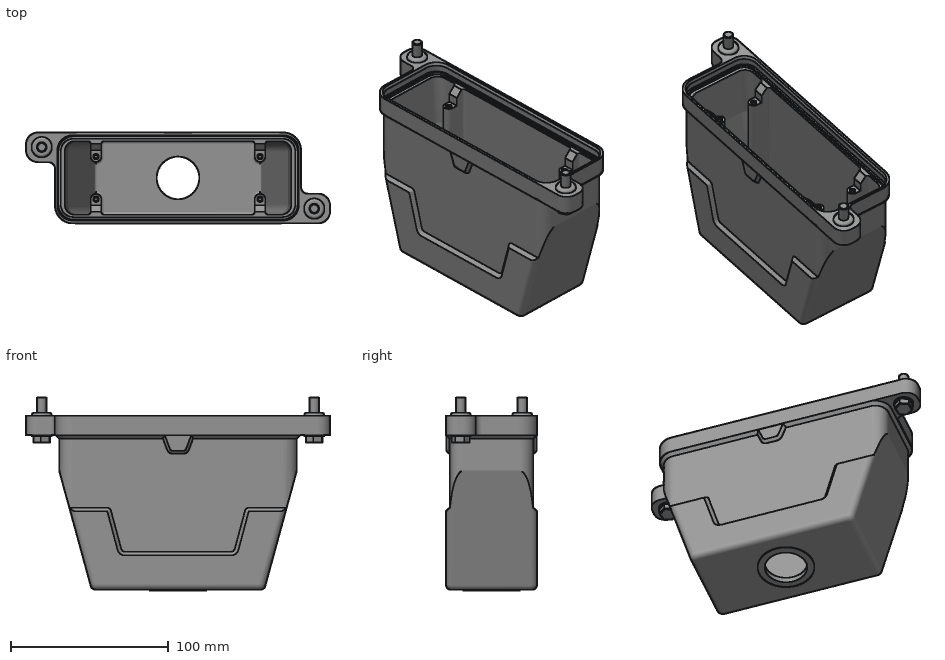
import math

import cadquery as cq

FLANGE_THICKNESS = 12.4
BODY_BOTTOM_Z = -110.5
TAPER_START_Z = -34.9

MARGIN = 1.0

FLANGE_LENGTH = 156.2
FLANGE_WIDTH = 57.8
FLANGE_CORNER_R = 11.4
OVERALL_LENGTH = 193.0
EAR_WIDTH = 19.0
EAR_CORNER_R = 7.8
EAR_INNER_R = 4.0

BODY_LENGTH = 150.8
BODY_WIDTH = 53.2
BODY_CORNER_R = 8.8
BODY_BOTTOM_LENGTH = 109.4
NECK_CHAMFER = 2.2
EDGE_R = 4.0
BOTTOM_R = 3.6

BAND_WIDTH = 58.0
BAND_BEVEL = 2.4
BAND_CORNER_R = 2.6
BAND_TOP_Z = -58.4
WINDOW_BOTTOM_Z = -86.3
WINDOW_TOP_HALF = 43.0
WINDOW_BOTTOM_HALF = 35.5

TAB_WIDTH = 57.4
TAB_BOTTOM_Z = -24.2
TAB_TOP_HALF = 10.4
TAB_BOTTOM_HALF = 6.0
TAB_BEVEL = 1.9
TAB_CORNER_R = 4.0

RECESS_LENGTH = 153.2
RECESS_WIDTH = 54.2
RECESS_CORNER_R = 10.0
RECESS_BEVEL_DEPTH = 2.0
RECESS_BEVEL_INSET = 0.8
RECESS_SHELF_DEPTH = 6.4
RECESS_SHELF_INSET = 2.3
RECESS_DEPTH = 7.9
LEDGE_Z = -RECESS_DEPTH

CAVITY_LENGTH = 143.8
CAVITY_WIDTH = 46.8
CAVITY_CORNER_R = 6.8
CAVITY_SLOPE_Z = -42.0
CAVITY_SLOPE_LENGTH = 139.6
CAVITY_FLOOR_LENGTH = 105.2
CAVITY_FLOOR_Z = -107.0
FLOOR_R = 1.9

POST_X = 52.0
POST_Y = 13.5
POST_WIDTH = 6.7
POST_TOP_Z = -18.2
POST_ROOT_R = 2.0
POST_HOLE_D = 2.2
POST_SINK_D = 3.6
POST_HOLE_DEPTH = 12.0
RAMP_START_Y = 21.6
RAMP_END_Y = 17.4
RAMP_DROP = 4.4

CABLE_HOLE_D = 26.9
CABLE_PAD_D = 36.0
CABLE_PAD_HEIGHT = 0.5

SCREW_X = 86.4
SCREW_Y = 19.5
SCREW_D = 6.2
SCREW_TIP_Z = 11.7
SCREW_TIP_CHAMFER = 0.5
COLLAR_D = 13.0
COLLAR_HEIGHT = 1.9
COLLAR_R = 1.85
HEAD_ACROSS_FLATS = 10.0
HEAD_HEIGHT = 4.9
HEAD_TURN = 23.7
HEAD_CHAMFER = 0.5
WASHER_D = 12.4
WASHER_HEIGHT = 0.7


def rounded_box(length, width, radius, z_top, height):
    """Box centred in X and Y with rounded vertical edges, hanging from z_top."""
    return (
        cq.Workplane("XY", origin=(0, 0, z_top - height))
        .rect(length, width)
        .extrude(height)
        .edges("|Z")
        .fillet(radius)
    )


def side_prism(points, width):
    """Prism of an X-Z outline, centred on Y = 0."""
    return cq.Workplane("XZ").polyline(points).close().extrude(width / 2, both=True)


def mirrored(points):
    """Outline symmetric in X, from the points of its +X half (top to bottom)."""
    return points + [(-x, z) for x, z in reversed(points)]


def body_outline():
    return mirrored([
        (BODY_LENGTH / 2, 0),
        (BODY_LENGTH / 2, TAPER_START_Z),
        (BODY_BOTTOM_LENGTH / 2, BODY_BOTTOM_Z),
    ])


def make_ear():
    """Ear at the -X, +Y corner of the flange, long enough to overlap the flange."""
    x_left = -OVERALL_LENGTH / 2
    y_low = FLANGE_WIDTH / 2 - EAR_WIDTH
    ear = (
        cq.Workplane("XY", origin=(0, 0, -FLANGE_THICKNESS))
        .moveTo(x_left, y_low)
        .lineTo(-FLANGE_LENGTH / 2, y_low)
        .lineTo(-FLANGE_LENGTH / 2, 0)
        .lineTo(0, 0)
        .lineTo(0, FLANGE_WIDTH / 2)
        .lineTo(x_left, FLANGE_WIDTH / 2)
        .close()
        .extrude(FLANGE_THICKNESS)
    )
    ear = ear.edges("|Z and <X").fillet(EAR_CORNER_R)
    inner_corner = cq.selectors.NearestToPointSelector(
        (-FLANGE_LENGTH / 2, y_low, -FLANGE_THICKNESS / 2)
    )
    return ear.edges(inner_corner).fillet(EAR_INNER_R)


def half_turn(shape):
    return shape.rotate((0, 0, 0), (0, 0, 1), 180)


def make_flange():
    plate = rounded_box(FLANGE_LENGTH, FLANGE_WIDTH, FLANGE_CORNER_R, 0, FLANGE_THICKNESS)
    ear = make_ear()
    return plate.union(ear).union(half_turn(ear))


def make_neck():
    """Sloped transition between the body and the underside of the flange."""
    block = rounded_box(
        BODY_LENGTH + 2 * NECK_CHAMFER,
        BODY_WIDTH + 2 * NECK_CHAMFER,
        BODY_CORNER_R + NECK_CHAMFER,
        -FLANGE_THICKNESS + NECK_CHAMFER,
        2 * NECK_CHAMFER,
    )
    return block.faces("<Z").chamfer(NECK_CHAMFER)


def make_envelope():
    """Body at the full width of the band, rounded along the sloped ends and the bottom."""
    envelope = side_prism(body_outline(), BAND_WIDTH)
    sloped_edges = cq.selectors.BoxSelector(
        (-BODY_LENGTH, -BAND_WIDTH, BODY_BOTTOM_Z + MARGIN),
        (BODY_LENGTH, BAND_WIDTH, TAPER_START_Z - MARGIN),
    )
    envelope = envelope.edges(sloped_edges).fillet(EDGE_R)
    return envelope.faces("<Z").edges().fillet(BOTTOM_R)


def make_body(envelope):
    column = rounded_box(BODY_LENGTH, BODY_WIDTH, BODY_CORNER_R, 0, -BODY_BOTTOM_Z)
    return column.intersect(envelope)


def make_band(envelope):
    """Thick lower part of the body, its bevelled outline standing out on both long sides."""
    outer_x = BODY_LENGTH / 2 + BAND_BEVEL + MARGIN
    low_z = BODY_BOTTOM_Z - BAND_BEVEL - MARGIN
    outline = mirrored([
        (WINDOW_BOTTOM_HALF, WINDOW_BOTTOM_Z),
        (WINDOW_TOP_HALF, BAND_TOP_Z),
        (outer_x, BAND_TOP_Z),
        (outer_x, low_z),
    ])
    mask = side_prism(outline, BAND_WIDTH)
    window_edges = cq.selectors.BoxSelector(
        (-WINDOW_TOP_HALF - MARGIN, -BAND_WIDTH, WINDOW_BOTTOM_Z - MARGIN),
        (WINDOW_TOP_HALF + MARGIN, BAND_WIDTH, BAND_TOP_Z + MARGIN),
    )
    mask = mask.edges("|Y").edges(window_edges).fillet(BAND_CORNER_R)
    mask = mask.faces("<Y or >Y").chamfer(BAND_BEVEL)
    return envelope.intersect(mask)


def make_tabs():
    top_z = -FLANGE_THICKNESS / 2
    outline = mirrored([
        (TAB_TOP_HALF, top_z),
        (TAB_TOP_HALF, -FLANGE_THICKNESS),
        (TAB_BOTTOM_HALF, TAB_BOTTOM_Z),
    ])
    tabs = side_prism(outline, TAB_WIDTH)
    low_edges = cq.selectors.BoxSelector(
        (-TAB_TOP_HALF, -TAB_WIDTH, TAB_BOTTOM_Z - MARGIN),
        (TAB_TOP_HALF, TAB_WIDTH, TAB_BOTTOM_Z + MARGIN),
    )
    tabs = tabs.edges("|Y").edges(low_edges).fillet(TAB_CORNER_R)
    return tabs.faces("<Y or >Y").chamfer(TAB_BEVEL)


def recess_tier(inset, depth):
    """Cutter reaching from just above the flange down to the given depth."""
    return rounded_box(
        RECESS_LENGTH - 2 * inset,
        RECESS_WIDTH - 2 * inset,
        RECESS_CORNER_R - inset,
        MARGIN,
        depth + MARGIN,
    )


def make_recess():
    """Seal recess: bevelled rim, upright wall, narrow shelf and the ledge at its bottom."""
    rim = recess_tier(0, RECESS_BEVEL_DEPTH)
    rim = rim.faces("<Z").chamfer(RECESS_BEVEL_DEPTH, RECESS_BEVEL_INSET)
    wall = recess_tier(RECESS_BEVEL_INSET, RECESS_SHELF_DEPTH)
    pocket = recess_tier(RECESS_SHELF_INSET, RECESS_DEPTH)
    return rim.union(wall).union(pocket)


def post_column(x, side, z_low, z_high):
    """Upright with a round nose at (x, POST_Y) and a hollow flare where it meets the long wall."""
    nose_r = POST_WIDTH / 2
    root_half = nose_r + POST_ROOT_R
    wall_y = CAVITY_WIDTH / 2
    flare_start_y = wall_y - POST_ROOT_R
    flare_offset = POST_ROOT_R * (1 - math.sqrt(0.5))
    flare_mid_y = wall_y - flare_offset
    back_y = wall_y + MARGIN
    return (
        cq.Workplane("XY", origin=(x, 0, z_low))
        .moveTo(-root_half, side * back_y)
        .lineTo(-root_half, side * wall_y)
        .threePointArc((-nose_r - flare_offset, side * flare_mid_y), (-nose_r, side * flare_start_y))
        .lineTo(-nose_r, side * POST_Y)
        .threePointArc((0, side * (POST_Y - nose_r)), (nose_r, side * POST_Y))
        .lineTo(nose_r, side * flare_start_y)
        .threePointArc((nose_r + flare_offset, side * flare_mid_y), (root_half, side * wall_y))
        .lineTo(root_half, side * back_y)
        .close()
        .extrude(z_high - z_low)
    )


def post_relief(x, side):
    """Space above the post top, leaving a ramped rib against the wall."""
    ramp_end_z = LEDGE_Z - RAMP_DROP
    ramp = (
        cq.Workplane("YZ", origin=(x, 0, 0))
        .moveTo(0, LEDGE_Z)
        .lineTo(side * RAMP_START_Y, LEDGE_Z)
        .lineTo(side * RAMP_END_Y, ramp_end_z)
        .lineTo(side * RAMP_END_Y, POST_TOP_Z)
        .lineTo(0, POST_TOP_Z)
        .close()
        .extrude(POST_WIDTH / 2, both=True)
    )
    return ramp.intersect(post_column(x, side, POST_TOP_Z, LEDGE_Z))


def post_hole(x, side):
    """Blind screw hole with a countersunk mouth."""
    hole = cq.Workplane("XY", origin=(x, side * POST_Y, POST_TOP_Z - POST_HOLE_DEPTH))
    hole = hole.circle(POST_HOLE_D / 2).extrude(POST_HOLE_DEPTH)
    sink_depth = (POST_SINK_D - POST_HOLE_D) / 2
    sink = (
        cq.Workplane("XY", origin=(x, side * POST_Y, POST_TOP_Z))
        .circle(POST_SINK_D / 2)
        .workplane(offset=-sink_depth)
        .circle(POST_HOLE_D / 2)
        .loft()
    )
    return hole.union(sink)


def make_cavity():
    """Solid filling the inner space, to be cut from the body."""
    outline = mirrored([
        (CAVITY_LENGTH / 2, LEDGE_Z),
        (CAVITY_SLOPE_LENGTH / 2, CAVITY_SLOPE_Z),
        (CAVITY_FLOOR_LENGTH / 2, CAVITY_FLOOR_Z),
    ])
    cavity = side_prism(outline, CAVITY_WIDTH)
    corner_edges = cq.selectors.BoxSelector(
        (-CAVITY_LENGTH, -CAVITY_WIDTH, CAVITY_FLOOR_Z + MARGIN),
        (CAVITY_LENGTH, CAVITY_WIDTH, LEDGE_Z - MARGIN),
    )
    cavity = cavity.edges("not(|Y)").edges(corner_edges).fillet(CAVITY_CORNER_R)

    places = [(x, side) for x in (-POST_X, POST_X) for side in (-1, 1)]
    for x, side in places:
        cavity = cavity.cut(post_column(x, side, CAVITY_FLOOR_Z - MARGIN, LEDGE_Z + MARGIN))
    cavity = cavity.faces("<Z").edges().fillet(FLOOR_R)
    for x, side in places:
        cavity = cavity.union(post_relief(x, side)).union(post_hole(x, side))
    return cavity


def make_screw():
    """Screw in the -X, +Y ear: shank, domed collar on top, hexagon head below."""
    head_bottom_z = -FLANGE_THICKNESS - HEAD_HEIGHT
    shank = (
        cq.Workplane("XY", origin=(0, 0, -FLANGE_THICKNESS))
        .circle(SCREW_D / 2)
        .extrude(FLANGE_THICKNESS + SCREW_TIP_Z)
        .faces(">Z")
        .chamfer(SCREW_TIP_CHAMFER)
    )
    collar = cq.Workplane("XY").circle(COLLAR_D / 2).extrude(COLLAR_HEIGHT)
    collar = collar.faces(">Z").fillet(COLLAR_R)
    head = (
        cq.Workplane("XY", origin=(0, 0, head_bottom_z))
        .polygon(6, HEAD_ACROSS_FLATS / math.cos(math.pi / 6))
        .extrude(HEAD_HEIGHT)
        .faces("<Z")
        .chamfer(HEAD_CHAMFER)
        .rotate((0, 0, 0), (0, 0, 1), HEAD_TURN)
    )
    washer = (
        cq.Workplane("XY", origin=(0, 0, -FLANGE_THICKNESS - WASHER_HEIGHT))
        .circle(WASHER_D / 2)
        .extrude(WASHER_HEIGHT)
    )
    return shank.union(collar).union(washer).union(head).translate((-SCREW_X, SCREW_Y, 0))


def make_cable_pad():
    pad = cq.Workplane("XY", origin=(0, 0, BODY_BOTTOM_Z - CABLE_PAD_HEIGHT))
    return pad.circle(CABLE_PAD_D / 2).extrude(2 * CABLE_PAD_HEIGHT)


def make_cable_hole():
    """Cutter through the pad and the floor, ending inside the cavity."""
    low_z = BODY_BOTTOM_Z - CABLE_PAD_HEIGHT - MARGIN
    cutter = cq.Workplane("XY", origin=(0, 0, low_z))
    return cutter.circle(CABLE_HOLE_D / 2).extrude(CAVITY_FLOOR_Z + MARGIN - low_z)


envelope = make_envelope()
hood = make_flange().union(make_neck()).union(make_body(envelope))
hood = hood.union(make_band(envelope)).union(make_tabs()).union(make_cable_pad())
hood = hood.cut(make_recess()).cut(make_cavity()).cut(make_cable_hole())

screw = make_screw()
result = hood.union(screw).union(half_turn(screw))